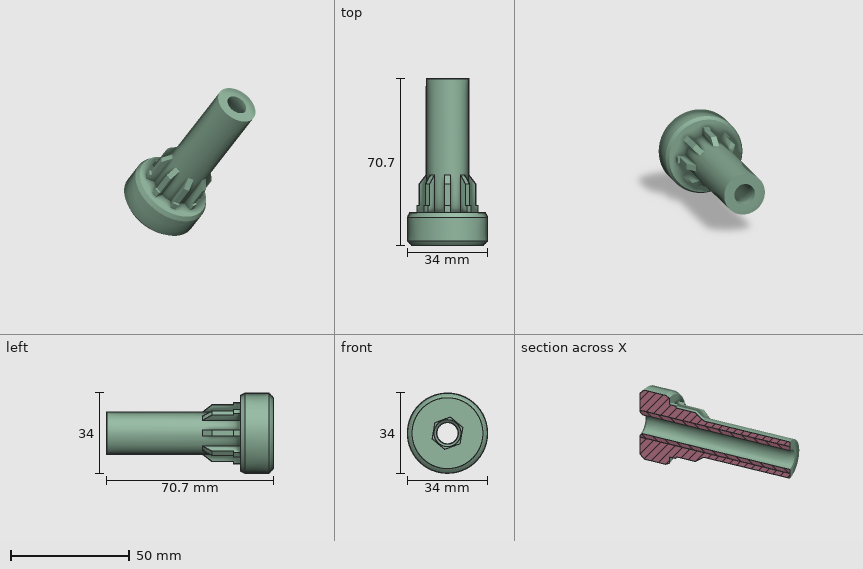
import cadquery as cq
import math

overall_length = 70.65

head_diameter = 34.0
head_length = 14.0
front_chamfer = 2.0
rear_chamfer_length = 2.0
rear_chamfer_depth = 1.0

tube_diameter = 18.0

rib_count = 8
rib_width = 2.5
rib_diameter = 24.1
rib_step_diameter = 25.9
rib_step_length = 3.0
rib_length = 16.0
rib_ramp_length = 4.0

core_across_flats = 12.0
core_turn_angle = 20.3
bore_diameter = 9.0
bore_mouth_diameter = 11.4

head_radius = head_diameter / 2
tube_radius = tube_diameter / 2
core_corner_diameter = core_across_flats / math.cos(math.radians(30))
bore_radius = bore_diameter / 2
bore_mouth_radius = bore_mouth_diameter / 2
bore_chamfer = bore_mouth_radius - bore_radius


def make_turned_plug():
    """Head and tube, revolved about the Y axis."""
    rear_face_radius = head_radius - rear_chamfer_depth
    outline = [
        (0, 0),
        (head_radius - front_chamfer, 0),
        (head_radius, front_chamfer),
        (head_radius, head_length - rear_chamfer_length),
        (rear_face_radius, head_length),
        (tube_radius, head_length),
        (tube_radius, overall_length),
        (0, overall_length),
    ]
    return cq.Workplane("XY").polyline(outline).close().revolve(360, (0, 0), (0, 1))


def make_rib():
    """One stepped, ramped rib on the +X side, rooted inside the tube wall."""
    root_radius = tube_radius - rib_width / 2
    rib_radius = rib_diameter / 2
    step_radius = rib_step_diameter / 2
    step_end = head_length + rib_step_length
    rib_end = head_length + rib_length
    outline = [
        (root_radius, head_length),
        (step_radius, head_length),
        (step_radius, step_end),
        (rib_radius, step_end),
        (rib_radius, rib_end - rib_ramp_length),
        (tube_radius, rib_end),
        (root_radius, rib_end),
    ]
    return cq.Workplane("XY").polyline(outline).close().extrude(rib_width / 2, both=True)


def make_hex_bar():
    """Full-length hexagonal bar filling the hexagonal hole of the plug."""
    bar = cq.Workplane("XZ").polygon(6, core_corner_diameter).extrude(-overall_length)
    return bar.rotate((0, 0, 0), (0, 1, 0), -core_turn_angle)


def make_bore():
    """Through bore with a 45 degree chamfer at the front."""
    outline = [
        (0, 0),
        (bore_mouth_radius, 0),
        (bore_radius, bore_chamfer),
        (bore_radius, overall_length),
        (0, overall_length),
    ]
    return cq.Workplane("XY").polyline(outline).close().revolve(360, (0, 0), (0, 1))


def make_plug():
    plug = make_turned_plug()
    rib = make_rib()
    for index in range(rib_count):
        plug = plug.union(rib.rotate((0, 0, 0), (0, 1, 0), index * 360 / rib_count))
    return plug.cut(make_hex_bar())


def make_core():
    return make_hex_bar().cut(make_bore())


plug = make_plug()
core = make_core()

result = cq.Compound.makeCompound([plug.val(), core.val()])